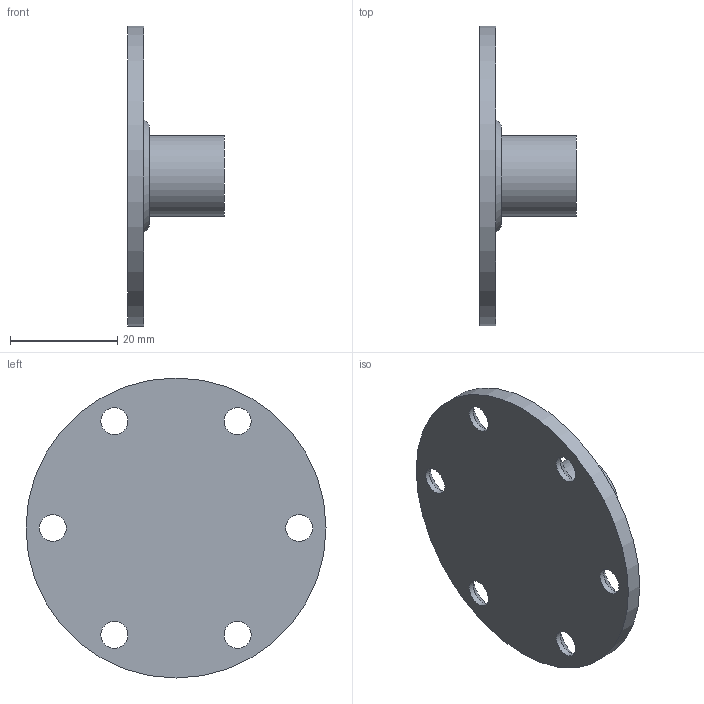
import cadquery as cq

flange_diameter = 56.0
flange_thickness = 3.0

overall_length = 18.0
shaft_diameter = 15.0

collar_height = 1.0
collar_base_diameter = 21.0
collar_top_diameter = 19.0

hole_count = 6
hole_diameter = 5.04
hole_circle_diameter = 46.0

countersink_diameter = 9.0
countersink_depth = (countersink_diameter - hole_diameter) / 2


def make_cylinder(diameter, start_x, end_x):
    """Solid cylinder along the X axis between two X positions."""
    return cq.Workplane("YZ", origin=(start_x, 0, 0)).circle(diameter / 2).extrude(end_x - start_x)


def make_cone(start_diameter, end_diameter, start_x, end_x):
    """Solid truncated cone along the X axis between two X positions."""
    profile = (
        cq.Workplane("XY")
        .moveTo(start_x, 0)
        .lineTo(start_x, start_diameter / 2)
        .lineTo(end_x, end_diameter / 2)
        .lineTo(end_x, 0)
        .close()
    )
    return profile.revolve(360, (0, 0, 0), (1, 0, 0))


def make_hole_cutter():
    """Through hole with its countersink, centred on the X axis."""
    countersink_start = flange_thickness - countersink_depth
    through = make_cylinder(hole_diameter, 0, flange_thickness)
    countersink = make_cone(hole_diameter, countersink_diameter, countersink_start, flange_thickness)
    return through.union(countersink)


def make_flange():
    """Flange disc with its ring of countersunk holes."""
    flange = make_cylinder(flange_diameter, 0, flange_thickness)
    first_cutter = make_hole_cutter().translate((0, hole_circle_diameter / 2, 0))
    for index in range(hole_count):
        angle = index * 360 / hole_count
        flange = flange.cut(first_cutter.rotate((0, 0, 0), (1, 0, 0), angle))
    return flange


collar = make_cone(
    collar_base_diameter,
    collar_top_diameter,
    flange_thickness,
    flange_thickness + collar_height,
)
shaft = make_cylinder(shaft_diameter, flange_thickness, overall_length)

result = make_flange().union(collar).union(shaft)